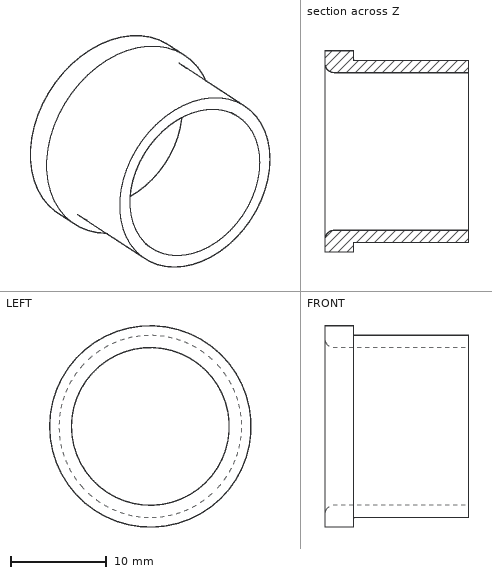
import cadquery as cq

length = 15.0
flange_diameter = 21.0
flange_thickness = 3.0
sleeve_diameter = 19.0
bore_diameter = 16.4
mouth_radius = 1.0
shoulder_radius = 0.05

flange = cq.Workplane("YZ").circle(flange_diameter / 2).extrude(flange_thickness)
sleeve = cq.Workplane("YZ").circle(sleeve_diameter / 2).extrude(length)
bore = cq.Workplane("YZ").circle(bore_diameter / 2).extrude(length)

bushing = flange.union(sleeve).cut(bore)

smallest_circle = cq.selectors.RadiusNthSelector(0)
bushing = bushing.faces("<X").edges(smallest_circle).fillet(mouth_radius)

shoulder = bushing.faces("|X").faces(">X[-2]")
result = shoulder.edges(smallest_circle).fillet(shoulder_radius)